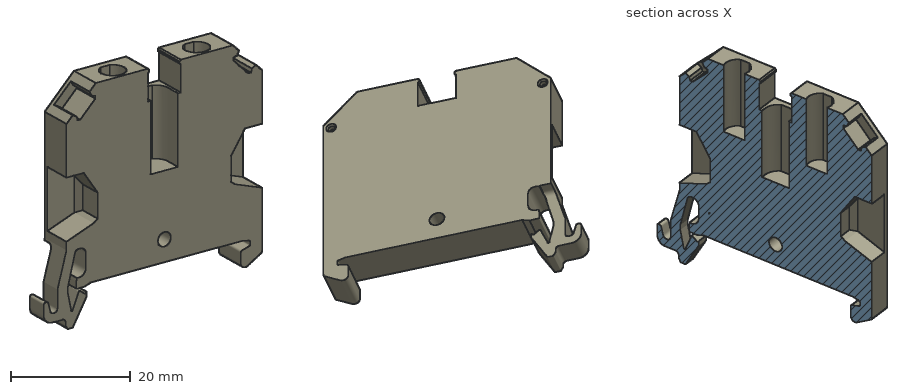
import cadquery as cq
import math


thickness = 6.4
half_width = 20.0
top_z = 36.05
shoulder = 5.98

notch_half = 3.35
notch_depth = 5.98
lip_reach = 0.25
lip_height = 0.85
lip_slope = 0.25

foot_inner_y = 15.55
foot_heel_z = -3.05
foot_heel_radius = 0.55
foot_bottom_z = -5.65
foot_toe_radius = 0.95
foot_lip_z = -1.8
foot_lip_radius = 0.45
foot_gap_y = 17.5
foot_gap_bottom_z = -1.25
foot_gap_top_z = -0.35
foot_gap_radius = 0.25
foot_ramp_y = 16.15

tongue_ramp_start_y = -15.0
tongue_ramp_end_y = -16.3
tongue_y = -17.97
tongue_bottom_z = -0.45
tongue_edge_radius = 0.15
tongue_bevel_y = -17.85
tongue_bevel_z = 0.9
tongue_top_z = 1.5
slit_y = -16.0
slit_bottom_radius = 1.45
slit_top_radius = 1.2

clip_x = 2.27
clip_root_z = 6.75
clip_root_y = -18.1
clip_root_inner_radius = 0.8
clip_root_fillet = 0.9
clip_inner_y = -19.7
clip_knee_top_z = 0.25
clip_knee_bottom_z = -0.7
clip_crotch_y = -18.9
clip_crotch_z = -4.55
clip_crotch_radius = 0.15
clip_outer_y = -21.8
clip_outer_bend_z = 0.4
clip_outer_root_z = 7.1
clip_split_y = -18.05
hook_split_z = -0.65

hook_peak_y = -17.4
hook_peak_z = -0.85
hook_peak_radius = 0.2
hook_dip_y = -16.2
hook_dip_z = -1.75
hook_dip_radius = 0.15
hook_y = -15.88
hook_corner_z = -1.43
hook_heel_z = -2.35
hook_heel_radius = 0.22

clip_bottom_z = -7.3
clip_point_inner_y = -18.7
clip_point_outer_y = -19.7
clip_point_shoulder_z = -6.55
clip_point_radius = 0.22
clip_step_y = -20.15
clip_step_z = -5.35
clip_step_radius = 0.62

clip_tip_y = -24.6
lug_outer_radius = 1.7
lug_top_z = -1.35
lug_top_radius = 0.45
lug_inner_y = -23.75
lug_root_y = -23.15
lug_valley_z = -3.7
lug_valley_radius = 0.7

slot_x = 0.95
slot_mouth_margin = 1.8
slot_nose_margin = 2.05
slot_undercut_margin = 1.7
slot_floor_margin = 2.05
slot_nose_depth = 0.85
slot_nose_flat = 0.1
slot_undercut_depth = 1.55
slot_depth = 1.9

entry_x = 0.8
entry_back_x = 2.0
entry_top_z = 20.3
entry_bottom_z = 8.65
entry_throat_bottom_z = 10.65
entry_back_top_z = 16.0
entry_back_bottom_z = 11.3
entry_flat_depth = 3.52
entry_throat_depth = 5.55
entry_depth = 6.4

hole_x = 3.52
hole_y = 8.55
hole_radius = 2.3
hole_flat_x = 1.4
well_radius = 2.75
well_flat_x = 1.05
hole_depth = 13.4
well_depth = 13.4

cross_hole_z = 4.2
cross_hole_diameter = 2.65
dimple_y = 18.6
dimple_z = 29.25
dimple_diameter = 1.2
dimple_mouth_diameter = 1.75
dimple_depth = 1.1

overcut = 0.45


def toward(start, end, distance):
    """Point at a distance from start on the way to end."""
    ratio = distance / math.dist(start, end)
    return tuple(a + (b - a) * ratio for a, b in zip(start, end))


def rounded_outline(corners):
    """Closed YZ outline from (y, z, radius) corners; a zero radius stays sharp."""
    path = None
    for index, (y, z, radius) in enumerate(corners):
        corner = (y, z)
        before = corners[index - 1][:2]
        after = corners[(index + 1) % len(corners)][:2]
        start = end = corner
        if radius > 0:
            unit_before = toward(corner, before, 0.45)
            unit_after = toward(corner, after, 0.45)
            half_angle = math.asin(math.dist(unit_before, unit_after) / 0.9)
            setback = radius / math.tan(half_angle)
            start = toward(corner, before, setback)
            end = toward(corner, after, setback)
        path = path.lineTo(*start) if path else cq.Workplane("YZ").moveTo(*start)
        if radius > 0:
            bisector = ((start[0] + end[0]) / 2, (start[1] + end[1]) / 2)
            crown = radius / math.sin(half_angle) - radius
            path = path.threePointArc(toward(corner, bisector, crown), end)
    return path.close()


def notch_side(side):
    """Corners of one notch wall from the top face down; side is +1 or -1."""
    nose = side * (notch_half - lip_reach)
    wall = side * notch_half
    return [
        (wall, top_z, 0),
        (nose, top_z - lip_slope, 0),
        (nose, top_z - lip_height + lip_slope, 0),
        (wall, top_z - lip_height, 0),
        (wall, top_z - notch_depth, 0),
    ]


def housing():
    """Full-thickness body with the foot, the tongue and the spring clip."""
    foot = [
        (half_width, foot_heel_z, foot_heel_radius),
        (foot_inner_y, foot_bottom_z, foot_toe_radius),
        (foot_inner_y, foot_lip_z, foot_lip_radius),
        (foot_gap_y, foot_gap_bottom_z, foot_gap_radius),
        (foot_gap_y, foot_gap_top_z, foot_gap_radius),
        (foot_ramp_y, 0, 0),
    ]
    tongue = [
        (tongue_ramp_start_y, 0, 0),
        (tongue_ramp_end_y, tongue_bottom_z, 0),
        (tongue_y, tongue_bottom_z, tongue_edge_radius),
        (tongue_y, tongue_bevel_z, 0),
        (tongue_bevel_y, tongue_top_z, 0),
        (slit_y, tongue_top_z, slit_bottom_radius),
        (slit_y, clip_root_z, slit_top_radius),
    ]
    clip_inner_side = [
        (clip_root_y, clip_root_z, clip_root_inner_radius),
        (clip_inner_y, clip_knee_top_z, 0),
        (clip_inner_y, clip_knee_bottom_z, 0),
        (clip_crotch_y, clip_crotch_z, clip_crotch_radius),
        (hook_peak_y, hook_peak_z, hook_peak_radius),
        (hook_dip_y, hook_dip_z, hook_dip_radius),
        (hook_y, hook_corner_z, 0),
        (hook_y, hook_heel_z, hook_heel_radius),
    ]
    clip_outer_side = [
        (clip_point_inner_y, clip_bottom_z, clip_point_radius),
        (clip_point_outer_y, clip_bottom_z, clip_point_radius),
        (clip_step_y, clip_point_shoulder_z, clip_point_radius),
        (clip_step_y, clip_step_z, clip_step_radius),
        (clip_tip_y, clip_step_z, lug_outer_radius),
        (clip_tip_y, lug_top_z, lug_top_radius),
        (lug_inner_y, lug_top_z, lug_top_radius),
        (lug_root_y, lug_valley_z, lug_valley_radius),
        (clip_outer_y, lug_valley_z, lug_valley_radius),
        (clip_outer_y, clip_outer_bend_z, 0),
        (-half_width, clip_outer_root_z, 0),
    ]
    shoulder_z = top_z - shoulder
    shoulder_y = half_width - shoulder
    left_top = [(-half_width, shoulder_z, 0), (-shoulder_y, top_z, 0)]
    right_top = [(shoulder_y, top_z, 0), (half_width, shoulder_z, 0)]
    top = left_top + notch_side(-1) + notch_side(1)[::-1] + right_top
    clip = clip_inner_side + clip_outer_side
    return rounded_outline(foot + tongue + clip + top).extrude(thickness)


def clip_relief():
    """Material missing between the -X face and the clip."""
    x_size = clip_x + overcut
    y_low = clip_tip_y - overcut
    z_low = clip_bottom_z - overcut
    corner = (-overcut, y_low, z_low)
    beside = (
        cq.Workplane("XY")
        .box(x_size, clip_split_y - y_low, clip_root_z - z_low, centered=False)
        .edges(">X and >Z")
        .fillet(clip_root_fillet)
    )
    below = cq.Workplane("XY").box(x_size, hook_y + overcut - y_low, hook_split_z - z_low, centered=False)
    return beside.union(below).translate(corner)


def marker_slot():
    """Slot with snap-in lips across the +Y shoulder."""
    run = shoulder * math.sqrt(2)
    half_section = [
        (slot_mouth_margin, -overcut),
        (slot_mouth_margin, 0),
        (slot_nose_margin, slot_nose_depth),
        (slot_nose_margin, slot_nose_depth + slot_nose_flat),
        (slot_undercut_margin, slot_undercut_depth),
        (slot_floor_margin, slot_depth),
    ]
    section = half_section + [(run - along, depth) for along, depth in reversed(half_section)]
    points = []
    for along, depth in section:
        y = half_width - shoulder + (along - depth) / math.sqrt(2)
        z = top_z - (along + depth) / math.sqrt(2)
        points.append((y, z))
    return cq.Workplane("YZ", origin=(slot_x, 0, 0)).polyline(points).close().extrude(thickness)


def entry_section(depth, x, bottom_z, top_z):
    """Rectangular wire at a depth below the +Y face, running out past the +X face."""
    x_end = thickness + overcut
    y = half_width - depth
    corners = [(x, y, bottom_z), (x_end, y, bottom_z), (x_end, y, top_z), (x, y, top_z)]
    return cq.Wire.makePolygon([cq.Vector(*corner) for corner in corners], close=True)


def wire_entry():
    """Mouth with a sloping floor and ceiling, then a funnel to a flat back wall."""
    ceiling_slope = (entry_top_z - entry_back_top_z) / (entry_depth - entry_flat_depth)
    throat_top_z = entry_top_z - ceiling_slope * (entry_throat_depth - entry_flat_depth)
    profile = [
        (half_width, entry_bottom_z),
        (half_width, entry_top_z),
        (half_width - entry_flat_depth, entry_top_z),
        (half_width - entry_throat_depth, throat_top_z),
        (half_width - entry_throat_depth, entry_throat_bottom_z),
    ]
    mouth = (
        cq.Workplane("YZ", origin=(entry_x, 0, 0))
        .polyline(profile)
        .close()
        .extrude(thickness + overcut - entry_x)
    )
    throat = entry_section(entry_throat_depth, entry_x, entry_throat_bottom_z, throat_top_z)
    back = entry_section(entry_depth, entry_back_x, entry_back_bottom_z, entry_back_top_z)
    funnel = cq.Workplane(cq.Solid.makeLoft([throat, back], True))
    return mouth.union(funnel)


def flat_sided_hole(y, radius, flat_x, surface_z, depth):
    """Vertical hole whose -X side is cut off flat."""
    plane = cq.Workplane("XY", origin=(0, 0, surface_z - depth))
    bore = plane.center(hole_x, y).circle(radius).extrude(depth)
    keep = plane.center(flat_x + thickness / 2, y).rect(thickness, 2 * radius).extrude(depth)
    return bore.intersect(keep)


def centre_well():
    """Flat-sided well in the notch floor, running out through the +X face."""
    floor_z = top_z - notch_depth
    rounded_end = flat_sided_hole(0, well_radius, well_flat_x, floor_z, well_depth)
    run_out = (
        cq.Workplane("XY")
        .box(thickness, 2 * well_radius, well_depth, centered=(False, True, False))
        .translate((hole_x, 0, floor_z - well_depth))
    )
    return rounded_end.union(run_out)


def dimple(y):
    """Countersunk blind hole in the -X face."""
    bore = cq.Workplane("YZ").center(y, dimple_z).circle(dimple_diameter / 2).extrude(dimple_depth)
    sink = (dimple_mouth_diameter - dimple_diameter) / 2
    cone = cq.Solid.makeCone(
        dimple_mouth_diameter / 2,
        dimple_diameter / 2,
        sink,
        cq.Vector(0, y, dimple_z),
        cq.Vector(1, 0, 0),
    )
    return bore.union(cq.Workplane(cone))


result = housing().cut(clip_relief())

for feature in (marker_slot(), wire_entry()):
    result = result.cut(feature).cut(feature.mirror("XZ"))

for side in (1, -1):
    result = result.cut(flat_sided_hole(side * hole_y, hole_radius, hole_flat_x, top_z, hole_depth))
    result = result.cut(dimple(side * dimple_y))

result = result.cut(centre_well())

cross_hole = cq.Workplane("YZ").center(0, cross_hole_z).circle(cross_hole_diameter / 2)
result = result.cut(cross_hole.extrude(thickness))